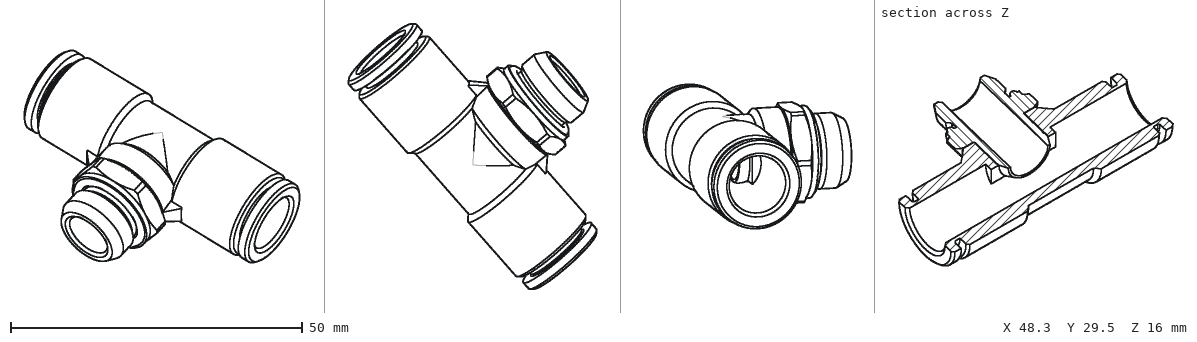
import cadquery as cq
import math


length = 48.3
depth = 29.5
socket_diameter = 16.0
socket_radius = socket_diameter / 2
neck_radius = 7.05
neck_half_length = 7.05
socket_step = socket_radius - neck_radius
socket_end = 21.05
socket_chamfer = 0.5

collar_end = length / 2
collar_radius = 7.8
collar_thickness = 1.9
collar_chamfer = 0.5
collar_stem_radius = 5.8
collar_stem_chamfer = 0.25
collar_back = collar_end - collar_thickness

bore_radius = 5.0
bore_mouth_chamfer = 0.6

boss_cone_start = -5.0
boss_face = -10.45
boss_chamfer = 0.3
gusset_half_width_root = 1.85
gusset_half_width_end = 1.35

seat_top = -3.5
seat_half_length = neck_half_length

stud_tip = -1.9
stud_end = socket_radius - depth
shank_radius = 5.35
tip_radius = 4.55
hex_across_flats = socket_diameter
hex_corner_radius = 9.0
hex_length = 3.55
hex_chamfer_angle = 30.0
flange_length = 1.0
lip_radius = 7.6
lip_section_radius = 0.72
groove_radius = 5.8
groove_length = 0.45
thread_radius = 6.5
thread_taper_start = -19.65
thread_end_radius = 5.5
stud_bore_radius = 4.05
stud_bore_mouth_chamfer = 0.55

hex_end = boss_face - hex_length
flange_end = hex_end - flange_length
lip_end = flange_end - lip_section_radius
groove_end = lip_end - groove_length
thread_start = groove_end - (thread_radius - groove_radius)


def turned_about_x(outline):
    """Solid of revolution about X, mirrored in X = 0, from (x, radius) points of its +X half."""
    mirrored = [(-x, radius) for x, radius in reversed(outline)]
    start = (-outline[-1][0], 0)
    end = (outline[-1][0], 0)
    profile = cq.Workplane("XY").polyline([start] + mirrored + outline + [end]).close()
    return profile.revolve(360, (0, 0), (1, 0))


def turned_about_y(outline):
    """Solid of revolution about Y from (radius, y) points, closed along the axis."""
    start = (0, outline[0][1])
    end = (0, outline[-1][1])
    return cq.Workplane("XY").polyline([start] + outline + [end]).close().revolve(360, (0, 0), (0, 1))


def tube_run():
    """Outside of the two sockets, their collars and the neck between them."""
    return turned_about_x([
        (neck_half_length, neck_radius),
        (neck_half_length + socket_step, socket_radius),
        (socket_end - socket_chamfer, socket_radius),
        (socket_end, socket_radius - socket_chamfer),
        (socket_end, collar_stem_radius),
        (collar_back - collar_stem_chamfer, collar_stem_radius),
        (collar_back, collar_stem_radius + collar_stem_chamfer),
        (collar_back, collar_radius),
        (collar_end - collar_chamfer, collar_radius),
        (collar_end, collar_radius - collar_chamfer),
    ])


def side_boss():
    """Round boss that grows from the neck's radius to the socket's radius."""
    return turned_about_y([
        (neck_radius, 0),
        (neck_radius, boss_cone_start),
        (socket_radius, boss_cone_start - socket_step),
        (socket_radius, boss_face + boss_chamfer),
        (socket_radius - boss_chamfer, boss_face),
    ])


def gussets():
    """Pair of 45 degree gussets from the sockets to the boss face, thinner towards the face."""
    drop = -boss_face - socket_radius
    bottom_reach = socket_radius - boss_chamfer
    reach = bottom_reach + drop
    top = -bore_radius
    side_outline = [
        (-reach, top),
        (-reach, -socket_radius),
        (-bottom_reach, boss_face),
        (bottom_reach, boss_face),
        (reach, -socket_radius),
        (reach, top),
    ]
    taper = (gusset_half_width_root - gusset_half_width_end) / drop
    top_half_width = gusset_half_width_end + taper * (top - boss_face)
    section = [
        (top, top_half_width),
        (boss_face, gusset_half_width_end),
        (boss_face, -gusset_half_width_end),
        (top, -top_half_width),
    ]
    plate = cq.Workplane("XY").polyline(side_outline).close().extrude(top_half_width, both=True)
    wedge = cq.Workplane("YZ").polyline(section).close().extrude(reach, both=True)
    return plate.intersect(wedge)


def tube_bore():
    """Through bore with chamfered mouths, leaving the stud's flat-topped seat standing in it."""
    bore = turned_about_x([
        (collar_end - bore_mouth_chamfer, bore_radius),
        (collar_end, bore_radius + bore_mouth_chamfer),
    ])
    seat_height = bore_radius + seat_top
    seat = cq.Workplane("XY").box(2 * seat_half_length, seat_height, 2 * bore_radius)
    return bore.cut(seat.translate((0, seat_top - seat_height / 2, 0)))


def shank():
    """Plain inner end of the stud, with a conical tip that stands in the tube bore."""
    return turned_about_y([
        (tip_radius, stud_tip),
        (shank_radius, seat_top),
        (shank_radius, boss_face),
    ])


def hexagon():
    """Hexagonal wrench section with flats facing +Z and -Z and turned corners."""
    prism = (
        cq.Workplane("XZ", origin=(0, boss_face, 0))
        .polygon(6, hex_across_flats / math.cos(math.pi / 6))
        .extrude(hex_length)
    )
    flat_radius = hex_across_flats / 2
    chamfer_length = (hex_corner_radius - flat_radius) * math.tan(math.radians(hex_chamfer_angle))
    blank = turned_about_y([
        (flat_radius, boss_face),
        (hex_corner_radius, boss_face - chamfer_length),
        (hex_corner_radius, hex_end + chamfer_length),
        (flat_radius, hex_end),
    ])
    return prism.intersect(blank)


def sealing_flange():
    """Round flange below the hexagon with a half-round sealing lip on its outer face."""
    flange = turned_about_y([(socket_radius, hex_end), (socket_radius, flange_end)])
    crest_radius = lip_radius - lip_section_radius
    lip = (
        cq.Workplane("XY")
        .moveTo(lip_radius, flange_end)
        .threePointArc((crest_radius, lip_end), (crest_radius - lip_section_radius, flange_end))
        .close()
        .revolve(360, (0, 0), (0, 1))
    )
    return flange.union(lip)


def thread():
    """Thread run-out groove and plain thread with a tapered end."""
    return turned_about_y([
        (groove_radius, flange_end),
        (groove_radius, groove_end),
        (thread_radius, thread_start),
        (thread_radius, thread_taper_start),
        (thread_end_radius, stud_end),
    ])


def stud_bore():
    """Through bore of the stud with a chamfered outer mouth."""
    return turned_about_y([
        (stud_bore_radius, stud_tip),
        (stud_bore_radius, stud_end + stud_bore_mouth_chamfer),
        (stud_bore_radius + stud_bore_mouth_chamfer, stud_end),
    ])


def make_housing():
    body = tube_run().union(side_boss()).union(gussets())
    return body.cut(tube_bore()).cut(shank())


def make_stud():
    body = shank().union(hexagon()).union(sealing_flange()).union(thread())
    return body.cut(stud_bore())


housing = make_housing()
stud = make_stud()

result = cq.Compound.makeCompound([housing.val(), stud.val()])